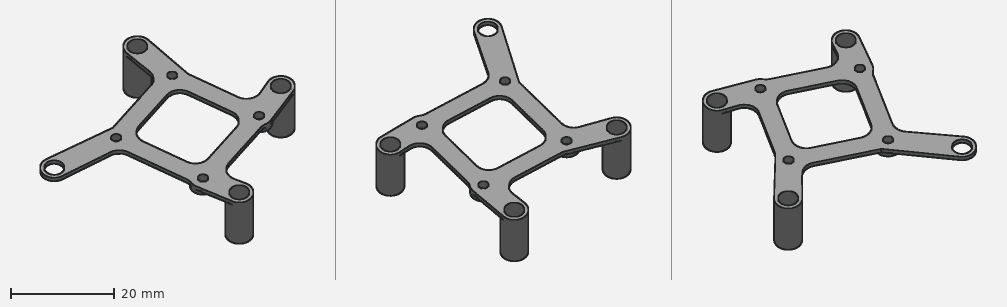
import cadquery as cq
import math

plate_thickness = 1.0
total_height = 11.5
boss_height = 1.0
leg_height = total_height - plate_thickness

post_diameter = 5.5
post_radius = post_diameter / 2.0
post_hole_diameter = 3.9
post_half_span_x = 22.0
rear_post_y = 20.0
front_post_y = -29.0

frame_center = (1.7, -1.0)
frame_angle = 30.5
screw_spacing = 20.0
screw_hole_diameter = 2.0
boss_diameter = 5.2
boss_radius = boss_diameter / 2.0
bar_width = 4.0
opening_corner_radius = 3.0
blend_radius = 3.0

right_post = (post_half_span_x, 0.0)
rear_post = (0.0, rear_post_y)
left_post = (-post_half_span_x, 0.0)
front_post = (0.0, front_post_y)
posts = [right_post, rear_post, left_post, front_post]
leg_posts = [right_post, rear_post, left_post]
straight_shoulder_posts = [left_post, front_post]


def direction(start, end):
    """Angle of the line from start to end, in radians."""
    return math.atan2(end[1] - start[1], end[0] - start[0])


def polar_point(center, radius, angle):
    return (center[0] + radius * math.cos(angle), center[1] + radius * math.sin(angle))


def screw_position(index):
    """Frame corner that carries arm number index, counter-clockwise from the right."""
    angle = math.radians(frame_angle - 45.0 + 90.0 * index)
    return polar_point(frame_center, screw_spacing / math.sqrt(2.0), angle)


screws = [screw_position(index) for index in range(len(posts))]


def tangent_angle(index):
    """Angle from an arm's axis to the points where its flanks touch the boss and post circles."""
    length = math.dist(screws[index], posts[index])
    return math.acos((boss_radius - post_radius) / length)


def discs(points, diameter, bottom, height):
    """Upright cylinders of one size at the given points."""
    base = cq.Workplane("XY").workplane(offset=bottom)
    return base.pushPoints(points).circle(diameter / 2.0).extrude(height)


def turned_square(side, corner_radius):
    """Plate-thick rounded square, placed and turned like the frame."""
    square = cq.Workplane("XY").rect(side, side).extrude(plate_thickness)
    square = square.edges("|Z").fillet(corner_radius)
    return square.rotate((0, 0, 0), (0, 0, 1), frame_angle).translate((*frame_center, 0))


def make_arm(index):
    """Tapered link: the boss circle and the post circle joined by their common tangents."""
    screw = screws[index]
    post = posts[index]
    axis = direction(screw, post)
    left_side = axis + tangent_angle(index)
    right_side = axis - tangent_angle(index)
    return (
        cq.Workplane("XY")
        .moveTo(*polar_point(screw, boss_radius, left_side))
        .threePointArc(
            polar_point(screw, boss_radius, axis + math.pi),
            polar_point(screw, boss_radius, right_side),
        )
        .lineTo(*polar_point(post, post_radius, right_side))
        .threePointArc(
            polar_point(post, post_radius, axis),
            polar_point(post, post_radius, left_side),
        )
        .close()
        .extrude(plate_thickness)
    )


def bar_edge_point(index, along):
    """Point on the outer edge of the previous frame bar, at a distance along it from the screw."""
    bar = direction(screws[index], screws[index - 1])
    on_center_line = polar_point(screws[index], along, bar)
    return polar_point(on_center_line, bar_width / 2.0, bar + math.pi / 2.0)


def make_straight_shoulder(index):
    """Wedge that carries the arm's flank straight on until it meets the previous bar's outer edge."""
    screw = screws[index]
    flank_normal = direction(screw, posts[index]) - tangent_angle(index)
    bar_normal = direction(screw, screws[index - 1]) + math.pi / 2.0
    turn = bar_normal - flank_normal
    along_bar = (boss_radius - bar_width / 2.0 * math.cos(turn)) / math.sin(turn)
    touch_point = polar_point(screw, boss_radius, flank_normal)
    outline = [screw, touch_point, bar_edge_point(index, along_bar)]
    return cq.Workplane("XY").polyline(outline).close().extrude(plate_thickness)


def crotch_point(index):
    """Inside corner between an arm and the next bar of the frame, counter-clockwise."""
    screw = screws[index]
    arm_axis = direction(screw, posts[index])
    bar = direction(screw, screws[(index + 1) % len(screws)])
    sine = abs(math.sin(bar - arm_axis))
    beside_bar = polar_point(screw, bar_width / 2.0 / sine, arm_axis)
    return polar_point(beside_bar, boss_radius / sine, bar)


def shoulder_point(index):
    """Shallow inside corner where the previous bar's outer edge meets the boss circle."""
    along_bar = math.sqrt(boss_radius**2 - (bar_width / 2.0) ** 2)
    return bar_edge_point(index, along_bar)


def blend_corner(plate, point):
    """Round the upright plate edge nearest to a point in plan."""
    nearest = cq.selectors.NearestToPointSelector((*point, plate_thickness / 2.0))
    return plate.edges("|Z").edges(nearest).fillet(blend_radius)


def make_plate():
    """Frame with four arms, blended inside corners and a central opening."""
    plate = turned_square(screw_spacing + bar_width, bar_width / 2.0)
    for index, post in enumerate(posts):
        plate = plate.union(make_arm(index))
        if post in straight_shoulder_posts:
            plate = plate.union(make_straight_shoulder(index))
    for index, post in enumerate(posts):
        plate = blend_corner(plate, crotch_point(index))
        if post not in straight_shoulder_posts:
            plate = blend_corner(plate, shoulder_point(index))
    return plate.cut(turned_square(screw_spacing - bar_width, opening_corner_radius))


legs = discs(leg_posts, post_diameter, -leg_height, total_height)
bosses = discs(screws, boss_diameter, -boss_height, boss_height)
post_holes = discs(posts, post_hole_diameter, -leg_height, total_height)
screw_holes = discs(screws, screw_hole_diameter, -boss_height, boss_height + plate_thickness)

result = make_plate().union(legs).union(bosses).cut(post_holes).cut(screw_holes)